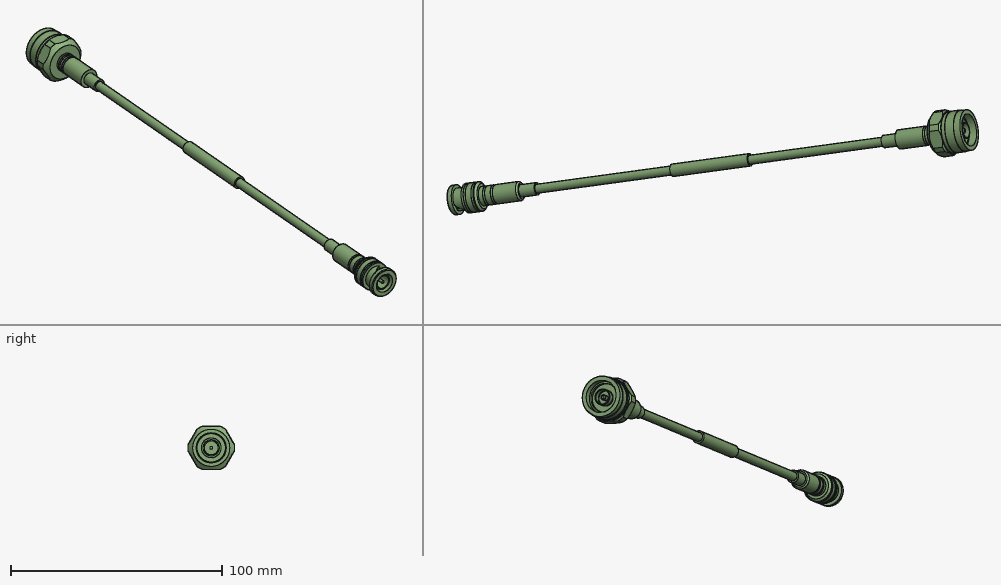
import cadquery as cq
import math

OVERALL_LENGTH = 274.3

CABLE_RADIUS = 2.2
COLLAR_RADIUS = 3.0
COLLAR_LENGTH = 8.2
MARKER_RADIUS = 3.0
MARKER_LENGTH = 41.1

BARREL_RADIUS = 4.7
BARREL_CHAMFER = 0.8
N_BARREL_END = 37.0
BNC_BARREL_START = 238.0
GROOVE_WIDTH = 1.0
GROOVE_DEPTH = 0.15
N_RING_GROOVES = [19.0, 21.5]
BNC_RING_GROOVES = [251.2, 255.3]

NUT_LENGTH = 17.8
NUT_ROUND_RADIUS = 19.5 / 2
NUT_BAND_RADIUS = 20.0 / 2
NUT_BAND_START = 3.3
NUT_BAND_END = 8.0
NUT_HEX_START = 10.0
NUT_HEX_ACROSS_FLATS = 20.5
NUT_CORNER_RADIUS = 22.2 / 2
NUT_FRONT_CHAMFER = 0.8
NUT_REAR_CHAMFER = 2.33
NUT_BORE_RADIUS = 6.9
NUT_MOUTH_RADIUS = 7.7
NUT_MOUTH_DEPTH = 3.8
NUT_FLOOR = 11.0

N_FLANGE_FACE = 5.5
N_SLEEVE_RADIUS = 3.8
N_SLEEVE_WALL = 0.4
N_SLEEVE_TIP = 1.6
N_PIN_RADIUS = 1.23
N_PIN_CHAMFER = 0.5
N_PIN_TIP = 2.2

COUPLING_START = 258.5
GRIP_END = 266.5
GRIP_RADIUS = 7.0
GRIP_CHAMFER = 1.0
GRIP_GROOVES = [260.3, 264.5]
WAIST_RADIUS = 5.5
FLANGE_START = 271.8
FLANGE_CHAMFER = 0.4
COUPLING_BORE_RADIUS = BARREL_RADIUS

SLOT_COUNT = 2
SLOT_ARC_WIDTH = 3.3
SLOT_START_TURN = -45.0
SLOT_TWIST = 75.0
SLOT_OVERCUT = 0.8

BNC_SLEEVE_RADIUS = 3.8
BNC_SLEEVE_WALL = 0.5
BNC_PIN_RADIUS = 0.69
BNC_CONTACT_RECESS = 1.5


def rod(start, end, radius):
    """Solid round bar along X."""
    return cq.Workplane("YZ", origin=(start, 0, 0)).circle(radius).extrude(end - start)


def tube(start, end, outer_radius, inner_radius):
    """Round tube along X."""
    return rod(start, end, outer_radius).cut(rod(start, end, inner_radius))


def turned(profile):
    """Revolve (x, radius) points about the X axis."""
    return cq.Workplane("XY").polyline(profile).close().revolve(360, (0, 0, 0), (1, 0, 0))


def cut_ring_grooves(body, starts, width, radius, depth):
    """Cut shallow ring grooves into a round surface of the given radius."""
    for start in starts:
        body = body.cut(tube(start, start + width, radius + depth, radius - depth))
    return body


def make_nut():
    """N coupling nut: banded round front, chamfered hex rear, stepped bore."""
    front = rod(0, NUT_HEX_START, NUT_ROUND_RADIUS)
    band = rod(NUT_BAND_START, NUT_BAND_END, NUT_BAND_RADIUS)
    across_corners = NUT_HEX_ACROSS_FLATS / math.cos(math.radians(30))
    hexagon = (
        cq.Workplane("YZ", origin=(NUT_HEX_START, 0, 0))
        .polygon(6, across_corners)
        .extrude(NUT_LENGTH - NUT_HEX_START)
    )
    envelope = turned([
        (NUT_HEX_START, 0),
        (NUT_HEX_START, NUT_CORNER_RADIUS - NUT_FRONT_CHAMFER),
        (NUT_HEX_START + NUT_FRONT_CHAMFER, NUT_CORNER_RADIUS),
        (NUT_LENGTH - NUT_REAR_CHAMFER, NUT_CORNER_RADIUS),
        (NUT_LENGTH, NUT_CORNER_RADIUS - NUT_REAR_CHAMFER),
        (NUT_LENGTH, 0),
    ])
    bore = turned([
        (0, 0),
        (0, NUT_MOUTH_RADIUS),
        (NUT_MOUTH_DEPTH, NUT_MOUTH_RADIUS),
        (NUT_MOUTH_DEPTH, NUT_BORE_RADIUS),
        (NUT_FLOOR, NUT_BORE_RADIUS),
        (NUT_FLOOR, 0),
    ])
    shank_hole = rod(NUT_FLOOR, NUT_LENGTH, BARREL_RADIUS)
    return front.union(band).union(hexagon.intersect(envelope)).cut(bore).cut(shank_hole)


def make_n_body():
    """N plug body: grooved barrel and flange with the contact sleeve and pin in front."""
    barrel = rod(NUT_FLOOR, N_BARREL_END, BARREL_RADIUS)
    barrel = cut_ring_grooves(barrel, N_RING_GROOVES, GROOVE_WIDTH, BARREL_RADIUS, GROOVE_DEPTH)
    flange = rod(N_FLANGE_FACE, NUT_FLOOR, NUT_BORE_RADIUS)
    sleeve = tube(N_SLEEVE_TIP, N_FLANGE_FACE, N_SLEEVE_RADIUS, N_SLEEVE_RADIUS - N_SLEEVE_WALL)
    pin = rod(N_PIN_TIP, N_FLANGE_FACE, N_PIN_RADIUS).faces("<X").chamfer(N_PIN_CHAMFER)
    return barrel.union(flange).union(sleeve).union(pin)


def make_bnc_body():
    """BNC plug body: grooved barrel with the contact sleeve and pin in front."""
    barrel = rod(BNC_BARREL_START, GRIP_END, BARREL_RADIUS).faces("<X").chamfer(BARREL_CHAMFER)
    barrel = cut_ring_grooves(barrel, BNC_RING_GROOVES, GROOVE_WIDTH, BARREL_RADIUS, GROOVE_DEPTH)
    contact_tip = OVERALL_LENGTH - BNC_CONTACT_RECESS
    sleeve = tube(GRIP_END, contact_tip, BNC_SLEEVE_RADIUS, BNC_SLEEVE_RADIUS - BNC_SLEEVE_WALL)
    pin = rod(GRIP_END, contact_tip, BNC_PIN_RADIUS)
    return barrel.union(sleeve).union(pin)


def make_bayonet_slot(turn):
    """Helical slot cutter through the coupling waist, starting at the given turn about X."""
    wall = WAIST_RADIUS - COUPLING_BORE_RADIUS
    mid_wall_radius = COUPLING_BORE_RADIUS + wall / 2
    return (
        cq.Workplane("YZ", origin=(GRIP_END, 0, 0))
        .moveTo(0, mid_wall_radius)
        .rect(SLOT_ARC_WIDTH, wall + 2 * SLOT_OVERCUT)
        .twistExtrude(FLANGE_START - GRIP_END, SLOT_TWIST)
        .rotate((0, 0, 0), (1, 0, 0), turn)
    )


def make_coupling():
    """BNC bayonet coupling: grooved grip, slotted waist and end flange."""
    grip = rod(COUPLING_START, GRIP_END, GRIP_RADIUS).faces("<X").chamfer(GRIP_CHAMFER)
    grip = cut_ring_grooves(grip, GRIP_GROOVES, GROOVE_WIDTH, GRIP_RADIUS, GROOVE_DEPTH)
    waist = rod(GRIP_END, FLANGE_START, WAIST_RADIUS)
    flange = rod(FLANGE_START, OVERALL_LENGTH, GRIP_RADIUS).faces(">X").chamfer(FLANGE_CHAMFER)
    bore = rod(COUPLING_START, OVERALL_LENGTH, COUPLING_BORE_RADIUS)
    coupling = grip.union(waist).union(flange).cut(bore)
    for copy in range(SLOT_COUNT):
        coupling = coupling.cut(make_bayonet_slot(SLOT_START_TURN + copy * 360 / SLOT_COUNT))
    return coupling


nut = make_nut()
n_body = make_n_body()
bnc_body = make_bnc_body()
coupling = make_coupling()
cable = rod(N_BARREL_END, BNC_BARREL_START, CABLE_RADIUS)

collars = []
for collar_start in (N_BARREL_END, BNC_BARREL_START - COLLAR_LENGTH):
    collars.append(tube(collar_start, collar_start + COLLAR_LENGTH, COLLAR_RADIUS, CABLE_RADIUS))

marker_start = (OVERALL_LENGTH - MARKER_LENGTH) / 2
marker = tube(marker_start, marker_start + MARKER_LENGTH, MARKER_RADIUS, CABLE_RADIUS)

result = cq.Compound.makeCompound([
    nut.val(),
    n_body.val(),
    cable.val(),
    marker.val(),
    *[collar.val() for collar in collars],
    bnc_body.val(),
    coupling.val(),
])